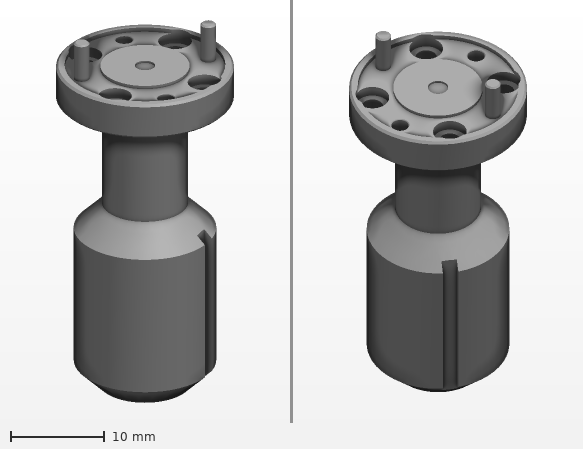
import cadquery as cq
import math

total_height = 41.95
flange_top = 38.15
flange_thickness = 4.05
flange_radius = 9.53
flange_chamfer = 0.25
neck_radius = 4.6
body_radius = 7.65
body_top = 18.55
bottom_chamfer = 2.6
flange_bottom = flange_top - flange_thickness
shoulder_top = body_top + (body_radius - neck_radius)

recess_depth = 0.5
recess_radius = 8.6
center_land_radius = 4.8
center_land_drop = 0.13
center_dimple_radius = 1.1
center_dimple_depth = 0.25
recess_floor = flange_top - recess_depth
land_top = flange_top - center_land_drop

bolt_circle_radius = 7.15
screw_hole_radius = 1.15
counterbore_radius = 1.8
counterbore_depth = 1.68
pin_hole_radius = 0.92
pin_hole_chamfer = 0.1
pin_radius = 0.85
pin_chamfer = 0.15

keyway_width = 1.68
keyway_floor = 6.67


def bolt_circle_points(angles):
    return [
        (
            bolt_circle_radius * math.cos(math.radians(angle)),
            bolt_circle_radius * math.sin(math.radians(angle)),
        )
        for angle in angles
    ]


def cylinders(points, radius, bottom, top):
    """Upright cylinders of one radius between two heights."""
    return cq.Workplane("XY", origin=(0, 0, bottom)).pushPoints(points).circle(radius).extrude(top - bottom)


def make_body():
    """Body with chamfered foot, conical shoulder, neck and keyway."""
    profile = [
        (0, 0),
        (body_radius - bottom_chamfer, 0),
        (body_radius, bottom_chamfer),
        (body_radius, body_top),
        (neck_radius, shoulder_top),
        (neck_radius, flange_bottom),
        (0, flange_bottom),
    ]
    body = cq.Workplane("XZ").polyline(profile).close().revolve(360, (0, 0), (0, 1))
    keyway_depth = body_radius - keyway_floor
    keyway = cq.Workplane("XY").box(
        keyway_depth, keyway_width, shoulder_top, centered=(False, True, False)
    )
    return body.cut(keyway.translate((keyway_floor, 0, 0)))


def make_flange():
    """Flange with a ring recess, center dimple, screw holes and open pin holes."""
    center = [(0, 0)]
    screw_points = bolt_circle_points([0, 90, 180, 270])
    open_pin_points = bolt_circle_points([135, 315])

    flange = cylinders(center, flange_radius, flange_bottom, flange_top).edges().chamfer(flange_chamfer)
    recess = cylinders(center, recess_radius, recess_floor, flange_top)
    land = cylinders(center, center_land_radius, recess_floor, land_top)
    flange = flange.cut(recess.cut(land))
    flange = flange.cut(cylinders(center, center_dimple_radius, land_top - center_dimple_depth, land_top))
    flange = flange.cut(cylinders(screw_points, screw_hole_radius, flange_bottom, flange_top))
    flange = flange.cut(cylinders(screw_points, counterbore_radius, flange_top - counterbore_depth, flange_top))

    pin_holes = cylinders(open_pin_points, pin_hole_radius, flange_bottom, recess_floor)
    countersink = cq.Workplane(
        cq.Solid.makeCone(
            pin_hole_radius,
            pin_hole_radius + pin_hole_chamfer,
            pin_hole_chamfer,
            pnt=cq.Vector(0, 0, recess_floor - pin_hole_chamfer),
        )
    )
    flange = flange.cut(pin_holes)
    for x, y in open_pin_points:
        flange = flange.cut(countersink.translate((x, y, 0)))
    return flange


def make_pins():
    """Alignment pins filling their holes on the other diagonal."""
    pins = cylinders(bolt_circle_points([45, 225]), pin_radius, flange_bottom, total_height)
    return pins.faces(">Z").edges().chamfer(pin_chamfer)


result = make_body().union(make_flange()).union(make_pins())